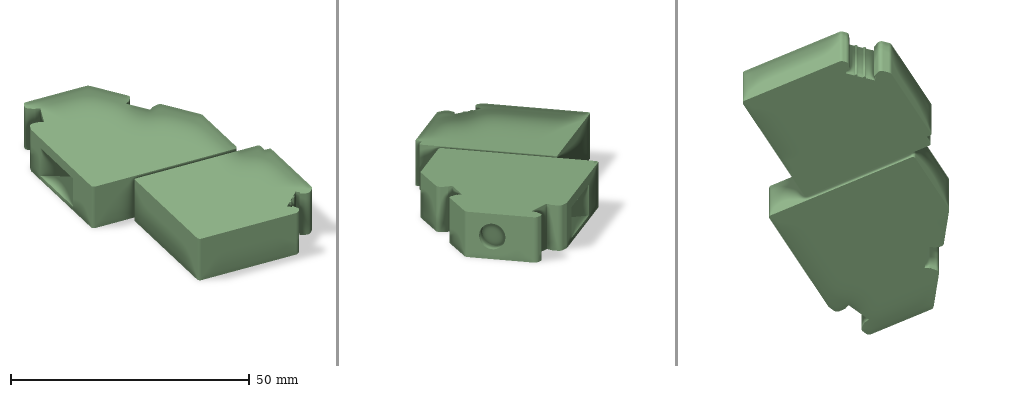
import cadquery as cq
import math

THICKNESS = 10.1
MID_Z = THICKNESS / 2
TOTAL_LENGTH = 67.6
TOTAL_WIDTH = 40.6

PLUG_LENGTH = 37.9
PLUG_WIDTH = 34.6
UPPER_SLOPE_START = (0, 19.25)
UPPER_SLOPE_END = (21.95, PLUG_WIDTH)
LOWER_SLOPE_START = (10.6, 0)
LOWER_SLOPE_END = (0, 3.85)
PLUG_CORNER_RADIUS = 0.7

SLOPE_CORNER_RADIUS = 1.0
LIP_RADIUS = 1.0
NECK_HEIGHT = 1.0
NECK_HALF = 2.7
MOUTH_HALF = 3.4
NOTCH_REACH = 0.7
PLUG_NOTCH_DEPTH = 3.2
PLUG_NOTCH_FLOOR_HALF = 2.85

WIRE_HOLE_DIAMETER = 5.7
WIRE_HOLE_Y = 13.45
WIRE_HOLE_DEPTH = 2.6

POCKET_X = 14.65
POCKET_LENGTH = 14.6
POCKET_TAPER = 3.65
POCKET_DEPTH = 6.1
POCKET_Z = 0.95
POCKET_HEIGHT = 6.8

GAP = 1.0
SOCKET_X = PLUG_LENGTH + GAP
SOCKET_Y = 9.3
STEP_LENGTH = 2.3
STEP_DEPTH = 1.4
SOCKET_FRONT_RADIUS = 0.4
SOCKET_BACK_RADIUS = 0.7

SOCKET_SLOPE_SIZE = 7.7
SOCKET_SLOPE_START = (TOTAL_LENGTH - SOCKET_SLOPE_SIZE, TOTAL_WIDTH)
SOCKET_SLOPE_END = (TOTAL_LENGTH, TOTAL_WIDTH - SOCKET_SLOPE_SIZE)
SOCKET_NOTCH_DEPTH = 2.9
SOCKET_NOTCH_FLOOR_HALF = 3.2
SOCKET_NOTCH_SHIFT = 0.35
RIB_RADIUS = 0.35
RIB_SPACING = 1.8

PIN_DIAMETER = 2.9
PIN_Y = 32.1
TAB_Y = 20.55
TAB_WIDTH = 4.25
TAB_HEIGHT = 7.15


def notch_cutter(depth, floor_half):
    """Undercut notch centred on the origin, sunk below the X axis and open toward +Y."""
    neck_y = NECK_HEIGHT - depth
    return (
        cq.Workplane("XY")
        .moveTo(-floor_half, -depth)
        .lineTo(floor_half, -depth)
        .lineTo(floor_half, neck_y)
        .lineTo(NECK_HALF, neck_y)
        .lineTo(MOUTH_HALF, 0)
        .lineTo(MOUTH_HALF, NOTCH_REACH)
        .lineTo(-MOUTH_HALF, NOTCH_REACH)
        .lineTo(-MOUTH_HALF, 0)
        .lineTo(-NECK_HALF, neck_y)
        .lineTo(-floor_half, neck_y)
        .close()
        .extrude(THICKNESS)
    )


def slope_point(start, end, offset):
    """Point on the line from start to end, at a signed distance from its middle."""
    fraction = 0.5 + offset / math.dist(start, end)
    return (
        start[0] + fraction * (end[0] - start[0]),
        start[1] + fraction * (end[1] - start[1]),
    )


def place_on_slope(shape, start, end, shift=0.0):
    """Move a shape from the X axis to the middle of a slope, its +Y side facing left of start-to-end."""
    angle = math.degrees(math.atan2(end[1] - start[1], end[0] - start[0]))
    middle = (*slope_point(start, end, 0), 0)
    return shape.translate((shift, 0, 0)).rotate((0, 0, 0), (0, 0, 1), angle).translate(middle)


def round_upright_edges(body, points, radius):
    """Fillet the vertical edge nearest to each XY point."""
    for point in points:
        body = body.edges(cq.NearestToPointSelector((*point, MID_Z))).fillet(radius)
    return body


def cut_notch(body, start, end, depth, floor_half, shift=0.0):
    """Cut a notch into a slope and round its two lips and the two ends of the slope."""
    body = round_upright_edges(body, (start, end), SLOPE_CORNER_RADIUS)
    body = body.cut(place_on_slope(notch_cutter(depth, floor_half), start, end, shift))
    lips = [slope_point(start, end, shift + side * MOUTH_HALF) for side in (-1, 1)]
    return round_upright_edges(body, lips, LIP_RADIUS)


def wire_hole():
    return (
        cq.Workplane("YZ")
        .center(WIRE_HOLE_Y, MID_Z)
        .circle(WIRE_HOLE_DIAMETER / 2)
        .extrude(WIRE_HOLE_DEPTH)
    )


def tapered_pocket():
    end_x = POCKET_X + POCKET_LENGTH
    return (
        cq.Workplane("XY", origin=(0, 0, POCKET_Z))
        .moveTo(POCKET_X, 0)
        .lineTo(end_x, 0)
        .lineTo(end_x - POCKET_TAPER, POCKET_DEPTH)
        .lineTo(POCKET_X + POCKET_TAPER, POCKET_DEPTH)
        .close()
        .extrude(POCKET_HEIGHT)
    )


def contacts():
    """Round pin and flat tab standing on the +X face of the plug and ending at the socket."""
    pin = (
        cq.Workplane("YZ", origin=(PLUG_LENGTH, PIN_Y, MID_Z))
        .circle(PIN_DIAMETER / 2)
        .extrude(GAP)
    )
    tab = (
        cq.Workplane("YZ", origin=(PLUG_LENGTH, TAB_Y + TAB_WIDTH / 2, MID_Z))
        .rect(TAB_WIDTH, TAB_HEIGHT)
        .extrude(GAP)
    )
    return pin, tab


def make_plug():
    outline = [
        LOWER_SLOPE_START, (PLUG_LENGTH, 0), (PLUG_LENGTH, PLUG_WIDTH),
        UPPER_SLOPE_END, UPPER_SLOPE_START, LOWER_SLOPE_END,
    ]
    body = cq.Workplane("XY").polyline(outline).close().extrude(THICKNESS)
    body = body.faces(">X").edges("|Z").fillet(PLUG_CORNER_RADIUS)
    slopes = ((UPPER_SLOPE_START, UPPER_SLOPE_END), (LOWER_SLOPE_START, LOWER_SLOPE_END))
    for start, end in slopes:
        body = cut_notch(body, start, end, PLUG_NOTCH_DEPTH, PLUG_NOTCH_FLOOR_HALF)
    body = body.cut(wire_hole()).cut(tapered_pocket())
    for contact in contacts():
        body = body.union(contact)
    return body


def make_socket():
    step_x = SOCKET_X + STEP_LENGTH
    step_y = TOTAL_WIDTH - STEP_DEPTH
    front_corner = (SOCKET_X, SOCKET_Y)
    back_corner = (TOTAL_LENGTH, SOCKET_Y)
    shoulder_corner = (SOCKET_X, step_y)
    step_corner = (step_x, TOTAL_WIDTH)
    outline = [
        front_corner, back_corner, SOCKET_SLOPE_END, SOCKET_SLOPE_START,
        step_corner, (step_x, step_y), shoulder_corner,
    ]
    body = cq.Workplane("XY").polyline(outline).close().extrude(THICKNESS)
    body = round_upright_edges(body, (front_corner, shoulder_corner, step_corner), SOCKET_FRONT_RADIUS)
    body = round_upright_edges(body, (back_corner,), SOCKET_BACK_RADIUS)
    body = cut_notch(
        body, SOCKET_SLOPE_START, SOCKET_SLOPE_END,
        SOCKET_NOTCH_DEPTH, SOCKET_NOTCH_FLOOR_HALF, SOCKET_NOTCH_SHIFT,
    )

    for side in (-1, 1):
        rib = (
            cq.Workplane("XY")
            .center(side * RIB_SPACING / 2, -SOCKET_NOTCH_DEPTH)
            .circle(RIB_RADIUS)
            .extrude(THICKNESS)
        )
        body = body.union(place_on_slope(rib, SOCKET_SLOPE_START, SOCKET_SLOPE_END, SOCKET_NOTCH_SHIFT))
    return body


plug = make_plug()
socket = make_socket()
result = cq.Compound.makeCompound([plug.val(), socket.val()])